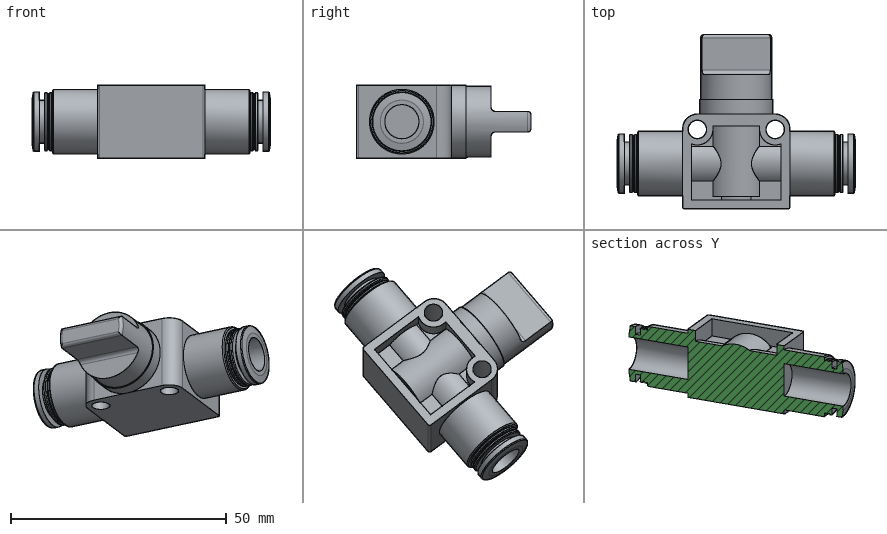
import cadquery as cq
import math


body_width = 24.95
body_height = 17.0
body_front = -10.5
body_back = 11.5
body_back_radius = 3.5
body_front_radius = 0.5

hole_diameter = 4.2
hole_x = 9.05
hole_y = 7.9
boss_radius = 3.6

wall = 2.05
pocket_back = 8.7
pocket_depth = 4.25
chamber_half_width = 5.345
chamber_front = -7.6
channel_half_width = 4.015
stub_half_width = 3.45

overall_length = 55.4
bore_diameter = 7.9
neck_diameter = 10.0
groove_diameter = 13.0
ring_diameter = 13.5
flange_diameter = 13.8
barrel_diameter = 15.0
bore_depth = 15.25
flange_length = 1.8
neck_length = 1.1
ring_length = 0.85
ring_chamfer = 0.2
ring_gap = 0.2
barrel_chamfer = 0.3
flange_edge = 0.3

collar_diameter = body_height
collar_back = 14.9
knob_diameter = 16.5
shoulder_y = 20.7
handle_end = 29.95
blade_thickness = 4.8
blade_root_radius = 1.0
blade_end_radius = 0.8

pocket_half_width = body_width / 2 - wall
pocket_front = body_front + wall
floor_z = body_height / 2 - pocket_depth


def block(x_min, x_max, y_min, y_max, z_min, z_max):
    size = (x_max - x_min, y_max - y_min, z_max - z_min)
    return cq.Workplane("XY").box(*size, centered=False).translate((x_min, y_min, z_min))


def y_cylinder(radius, y_min, y_max):
    return cq.Workplane("XZ", origin=(0, y_min, 0)).circle(radius).extrude(y_min - y_max)


def x_cylinder(radius, x_min, x_max):
    return cq.Workplane("YZ", origin=(x_min, 0, 0)).circle(radius).extrude(x_max - x_min)


def radius_at_floor(half_width):
    """Radius of a central cylinder that has the given half width at the pocket floor."""
    return math.hypot(half_width, floor_z)


def make_body():
    half_width = body_width / 2
    half_height = body_height / 2
    body = block(-half_width, half_width, body_front, body_back, -half_height, half_height)
    body = body.edges("|Z and >Y").fillet(body_back_radius)
    return body.edges("|Z and <Y").fillet(body_front_radius)


def make_pocket():
    pocket = block(
        -pocket_half_width, pocket_half_width, pocket_front, pocket_back, floor_z, body_height / 2
    )
    for side in (-1, 1):
        boss = (
            cq.Workplane("XY", origin=(side * hole_x, hole_y, floor_z))
            .circle(boss_radius)
            .extrude(pocket_depth)
        )
        outer_x = side * body_width / 2
        center_x = side * hole_x
        corner = block(
            min(outer_x, center_x), max(outer_x, center_x), hole_y, body_back, floor_z, body_height / 2
        )
        inner_x = center_x - side * boss_radius
        back_fill = block(
            min(inner_x, center_x), max(inner_x, center_x), hole_y, body_back, floor_z, body_height / 2
        )
        pocket = pocket.cut(boss).cut(corner).cut(back_fill)

    chamber = y_cylinder(radius_at_floor(chamber_half_width), chamber_front, pocket_back)
    channel = x_cylinder(
        radius_at_floor(channel_half_width), -pocket_half_width, pocket_half_width
    )
    stub = y_cylinder(radius_at_floor(stub_half_width), pocket_front, chamber_front)
    return pocket.cut(chamber).cut(channel).cut(stub)


def make_port():
    """Port on the -X side: barrel, two thin rings, neck and release flange, without the bore."""
    end_x = -overall_length / 2
    flange_back = end_x + flange_length
    x = flange_back + neck_length
    neck_r = neck_diameter / 2
    groove_r = groove_diameter / 2
    flange_r = flange_diameter / 2
    barrel_r = barrel_diameter / 2

    outline = cq.Workplane("XY").moveTo(end_x, 0).lineTo(end_x, neck_r)
    outline = outline.lineTo(end_x + flange_edge, flange_r - flange_edge / 2)
    outline = outline.lineTo(end_x + 2 * flange_edge, flange_r).lineTo(flange_back, flange_r)
    outline = outline.lineTo(flange_back, neck_r).lineTo(x, neck_r)
    for _ in range(2):
        outline = outline.lineTo(x, groove_r)
        outline = outline.lineTo(x + ring_chamfer, ring_diameter / 2)
        outline = outline.lineTo(x + ring_length - ring_chamfer, ring_diameter / 2)
        outline = outline.lineTo(x + ring_length, groove_r)
        x += ring_length + ring_gap
    x -= ring_gap
    outline = outline.lineTo(x, barrel_r - barrel_chamfer)
    outline = outline.lineTo(x + barrel_chamfer, barrel_r)
    outline = outline.lineTo(-pocket_half_width, barrel_r).lineTo(-pocket_half_width, 0).close()
    return outline.revolve(360, (0, 0, 0), (1, 0, 0))


def make_handle():
    knob = y_cylinder(knob_diameter / 2, collar_back, handle_end)
    half_blade = blade_thickness / 2
    half_knob = knob_diameter / 2
    for side in (-1, 1):
        flat = block(-half_knob, half_knob, shoulder_y, handle_end, half_blade, half_knob)
        flat = flat.edges("|X and <Y and <Z").fillet(blade_root_radius)
        if side < 0:
            flat = flat.mirror("XY")
        knob = knob.cut(flat)
    knob = knob.faces(">Y").edges().fillet(blade_end_radius)
    collar = y_cylinder(collar_diameter / 2, pocket_back, collar_back)
    return collar.union(knob)


result = make_body()
port = make_port()
port_bore = x_cylinder(bore_diameter / 2, -overall_length / 2, -overall_length / 2 + bore_depth)
result = result.union(port).union(port.mirror("YZ")).union(make_handle())
result = result.cut(make_pocket()).cut(port_bore).cut(port_bore.mirror("YZ"))
mounting_holes = (
    cq.Workplane("XY", origin=(0, 0, -body_height / 2))
    .pushPoints([(-hole_x, hole_y), (hole_x, hole_y)])
    .circle(hole_diameter / 2)
    .extrude(body_height)
)
result = result.cut(mounting_holes)